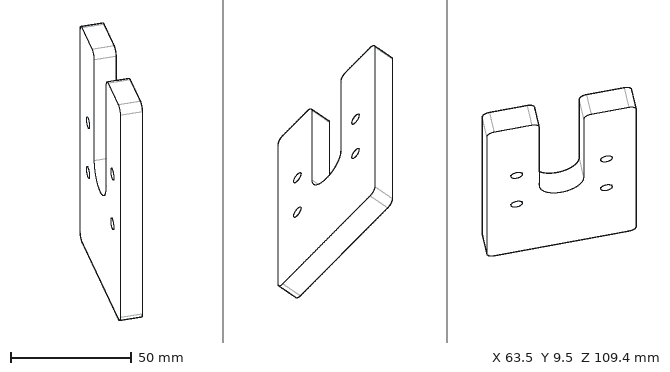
import cadquery as cq

width = 63.5
thickness = 9.5
height = 109.4
corner_radius = 3.2

slot_width = 18.8
slot_depth = 64.0
slot_radius = slot_width / 2

hole_diameter = 4.9
hole_spacing_x = 38.1
hole_spacing_z = 25.4
hole_pattern_z = 0.1


def plate_blank():
    return cq.Workplane("XY").box(width, thickness, height)


def slot_cutter():
    top = height / 2
    arc_centre_z = top - slot_depth + slot_radius
    return (
        cq.Workplane("XZ")
        .moveTo(-slot_radius, top)
        .lineTo(-slot_radius, arc_centre_z)
        .threePointArc((0, top - slot_depth), (slot_radius, arc_centre_z))
        .lineTo(slot_radius, top)
        .close()
        .extrude(thickness, both=True)
    )


def hole_cutters():
    return (
        cq.Workplane("XZ")
        .center(0, hole_pattern_z)
        .rarray(hole_spacing_x, hole_spacing_z, 2, 2)
        .circle(hole_diameter / 2)
        .extrude(thickness, both=True)
    )


slotted_plate = plate_blank().cut(slot_cutter())
top_edges = slotted_plate.faces(">Z").edges("|Y")
bottom_edges = slotted_plate.faces("<Z").edges("|Y")
rounded_plate = top_edges.add(bottom_edges).fillet(corner_radius)

result = rounded_plate.cut(hole_cutters())